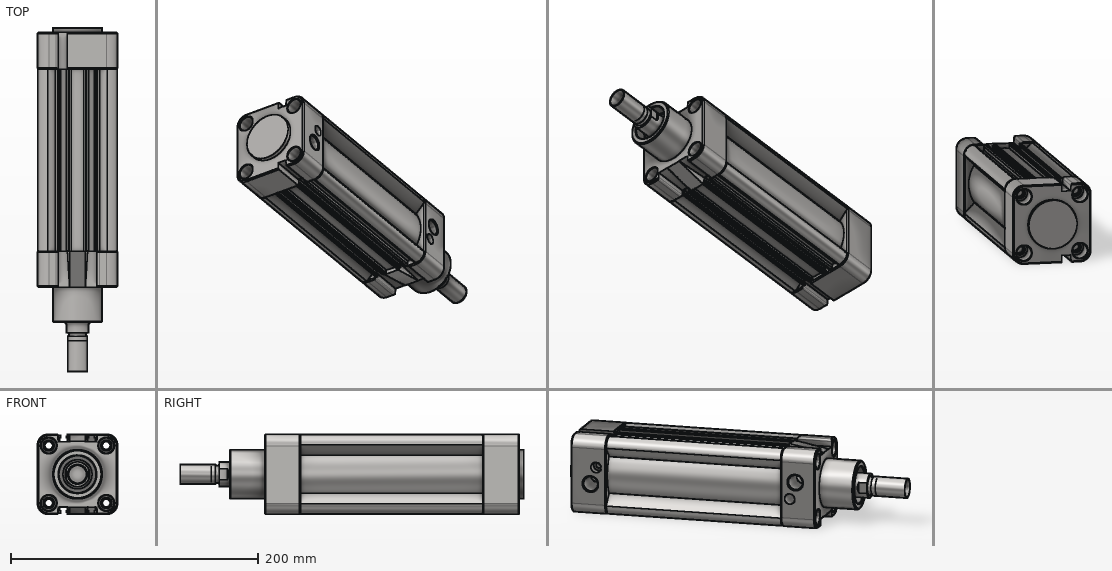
import cadquery as cq
import math


overall_length = 278.03
side = 65.0
half = side / 2
bolt_pitch = 46.5
bolt_offset = bolt_pitch / 2
corner_radius = half - bolt_offset

body_length = 206.0
front_cap_length = 29.1
rear_cap_length = 29.8
rear_spigot_length = 3.6
barrel_start = front_cap_length
barrel_end = body_length - rear_cap_length
cap_chamfer = 1.0

collar_radius = 20.0
collar_length = 28.5
collar_chamfer = 0.9
collar_bore_radius = 15.0
collar_bore_depth = 10.0
collar_bore_chamfer = 0.6
wiper_radius = 11.8
wiper_length = 4.0
rod_radius = 10.0
rod_length = overall_length - body_length - rear_spigot_length
rod_shoulder = 37.0
undercut_radius = 7.0
undercut_length = 3.0
thread_radius = 8.0
thread_bore_radius = 7.2
thread_bore_depth = 25.0
wrench_width = 18.0
wrench_start = 29.0
wrench_runout = 1.2

bolt_radius = 3.2
bolt_step_radius = 4.4
bolt_step_depth = 4.0
bolt_counterbore_radius = 6.2
bolt_counterbore_depth = 15.0
bolt_chamfer = 0.5

port_radius = 5.9
port_chamfer = 0.9
port_setback = 16.6
port_height = 6.5
screw_radius = 4.25
screw_inner_radius = 2.2
screw_seat_depth = 8.0
screw_setback = 21.3
screw_height = 7.5
chamber_radius = 12.0

recess_depth = 6.0
recess_floor = half - recess_depth
recess_half_width = 15.4
recess_wall_draft = 0.4
recess_lip_radius = 1.7
groove_inner_x = 8.1
wedge_top_half_width = 6.4
wedge_base_half_width = 8.2
wedge_front_height = 0.2
wedge_rear_height = 5.6

barrel_half = 32.2
tube_radius = 28.5
notch_edge = 24.0
side_notch_z = 15.2
notch_bottom_x = 17.9
strip_radius = math.hypot(notch_bottom_x, barrel_half - notch_edge + notch_bottom_x)
slot_neck_inner = 9.1
slot_neck_outer = 13.5
slot_undercut = 0.8
slot_floor = 25.8
slot_lip = 29.5
rail_top = 31.6
rail_chamfer = 1.2
inner_rail_step_width = 1.45
inner_rail_step_height = 0.8
inner_rail_x = 5.2
outer_rail_x = 15.9


def cylinder(radius, start, length):
    """Cylinder on the Y axis that runs from y = start to start + length."""
    return cq.Workplane("XZ", origin=(0, start, 0)).circle(radius).extrude(-length)


def block(x_min, x_max, y_min, y_max, z_min, z_max):
    """Axis-aligned box between two corners."""
    size = (x_max - x_min, y_max - y_min, z_max - z_min)
    return cq.Workplane("XY", origin=(x_min, y_min, z_min)).box(*size, centered=False)


def both_faces(shape):
    """The shape together with its mirror image in the XY plane."""
    return shape.union(shape.mirror("XY"))


def cap_blank(start, length):
    """Square cap with round corners and chamfered end edges."""
    blank = block(-half, half, start, start + length, -half, half)
    return blank.edges("|Y").fillet(corner_radius).faces("<Y or >Y").edges().chamfer(cap_chamfer)


def recess_cutter(y_min, length):
    """Channel along a cap's top face, with drafted walls and rounded lips."""
    wall_top = recess_half_width + recess_wall_draft
    lip_x = wall_top + recess_lip_radius
    lip_z = half - recess_lip_radius
    arc_mid = recess_lip_radius * math.sqrt(0.5)
    return (
        cq.Workplane("XZ", origin=(0, y_min, 0))
        .moveTo(-recess_half_width, recess_floor)
        .lineTo(recess_half_width, recess_floor)
        .lineTo(wall_top, lip_z)
        .threePointArc((lip_x - arc_mid, lip_z + arc_mid), (lip_x, half))
        .lineTo(-lip_x, half)
        .threePointArc((arc_mid - lip_x, lip_z + arc_mid), (-wall_top, lip_z))
        .close()
        .extrude(-length)
    )


def wedge():
    """Ramp in the front recess that falls from the barrel down to the floor at the front."""
    slope = (wedge_base_half_width - wedge_top_half_width) / wedge_rear_height

    def section(y, height):
        base = wedge_top_half_width + slope * height
        top = recess_floor + height
        points = [
            cq.Vector(-base, y, recess_floor),
            cq.Vector(base, y, recess_floor),
            cq.Vector(wedge_top_half_width, y, top),
            cq.Vector(-wedge_top_half_width, y, top),
        ]
        return cq.Wire.makePolygon(points, close=True)

    front = section(0, wedge_front_height)
    rear = section(front_cap_length, wedge_rear_height)
    ramp = cq.Solid.makeLoft([front, rear], True)
    return cq.Workplane(obj=ramp)


def front_cap():
    recess = recess_cutter(0, front_cap_length)
    return cap_blank(0, front_cap_length).cut(both_faces(recess)).union(both_faces(wedge()))


def rear_cap():
    beside_groove = block(-groove_inner_x, half, barrel_end, body_length, 0, half)
    groove = recess_cutter(barrel_end, rear_cap_length).cut(beside_groove)
    return cap_blank(barrel_end, rear_cap_length).cut(both_faces(groove))


def on_circle(radius, x):
    """Point of a circle about the origin at a given x, on its upper half."""
    return (x, math.sqrt(radius**2 - x**2))


def barrel():
    """Extruded profile: one quarter with its sensor slot and rails, mirrored twice."""
    outer_bevel_start = rail_top - rail_chamfer
    inner_step_z = rail_top - inner_rail_step_height
    side_notch_x = barrel_half - notch_edge + side_notch_z
    barrel_corner = barrel_half - notch_edge
    arc_mid = notch_edge + barrel_corner * math.sqrt(0.5)
    profile = (
        cq.Workplane("XZ", origin=(0, barrel_start, 0))
        .lineTo(0, tube_radius)
        .threePointArc(on_circle(tube_radius, inner_rail_x / 2), on_circle(tube_radius, inner_rail_x))
        .lineTo(inner_rail_x, inner_step_z)
        .lineTo(inner_rail_x + inner_rail_step_width, inner_step_z)
        .lineTo(inner_rail_x + inner_rail_step_width, rail_top)
        .lineTo(slot_neck_inner - inner_rail_step_width, rail_top)
        .lineTo(slot_neck_inner - inner_rail_step_width, inner_step_z)
        .lineTo(slot_neck_inner, inner_step_z)
        .lineTo(slot_neck_inner, slot_lip)
        .lineTo(slot_neck_inner - slot_undercut, slot_lip)
        .lineTo(slot_neck_inner - slot_undercut, slot_floor)
        .lineTo(slot_neck_outer + slot_undercut, slot_floor)
        .lineTo(slot_neck_outer + slot_undercut, slot_lip)
        .lineTo(slot_neck_outer, slot_lip)
        .lineTo(slot_neck_outer, rail_top)
        .lineTo(outer_rail_x - rail_chamfer, rail_top)
        .lineTo(outer_rail_x, outer_bevel_start)
        .lineTo(*on_circle(strip_radius, outer_rail_x))
        .threePointArc(
            on_circle(strip_radius, (outer_rail_x + notch_bottom_x) / 2),
            on_circle(strip_radius, notch_bottom_x),
        )
        .lineTo(notch_edge, barrel_half)
        .threePointArc((arc_mid, arc_mid), (barrel_half, notch_edge))
        .lineTo(side_notch_x, side_notch_z)
        .lineTo(on_circle(tube_radius, side_notch_z)[1], side_notch_z)
        .threePointArc(on_circle(tube_radius, side_notch_z / 2)[::-1], (tube_radius, 0))
        .close()
    )
    quarter = profile.extrude(-(barrel_end - barrel_start))
    upper = quarter.union(quarter.mirror("YZ"))
    return both_faces(upper)


def collar():
    """Front collar with an open recess that holds a raised wiper ring around the rod."""
    ring = cylinder(collar_radius, -collar_length, collar_length)
    ring = ring.faces("<Y").edges().chamfer(collar_chamfer)
    ring = ring.cut(cylinder(collar_bore_radius, -collar_length, collar_bore_depth))
    mouth_edge = ring.faces("<Y").edges(cq.selectors.RadiusNthSelector(0))
    ring = mouth_edge.chamfer(collar_bore_chamfer)
    wiper_base = collar_bore_depth - collar_length
    return ring.union(cylinder(wiper_radius, wiper_base - wiper_length, wiper_length))


def bolt_hole_cutter():
    """Through hole on the Y axis with a stepped, chamfered counterbore at each end."""
    mouth_radius = bolt_counterbore_radius + bolt_chamfer
    step_end = bolt_counterbore_depth + bolt_step_depth
    profile = (
        cq.Workplane("XY")
        .lineTo(mouth_radius, 0)
        .lineTo(bolt_counterbore_radius, bolt_chamfer)
        .lineTo(bolt_counterbore_radius, bolt_counterbore_depth)
        .lineTo(bolt_step_radius, bolt_counterbore_depth)
        .lineTo(bolt_step_radius, step_end)
        .lineTo(bolt_radius, step_end)
        .lineTo(bolt_radius, body_length / 2)
        .lineTo(0, body_length / 2)
        .close()
    )
    front_part = profile.revolve(360, (0, 0, 0), (0, 1, 0))
    rear_part = front_part.mirror("XZ", (0, body_length / 2, 0))
    return front_part.union(rear_part)


def side_hole(y, z, radius, depth):
    """Hole cutter that enters from the -X side."""
    return cq.Workplane("YZ", origin=(-half, y, z)).circle(radius).extrude(depth)


def port_cutter(y, z):
    """Air port down to the middle plane, with a chamfered mouth."""
    mouth = (
        cq.Workplane("YZ", origin=(-half, y, z))
        .circle(port_radius + port_chamfer)
        .workplane(offset=port_chamfer)
        .circle(port_radius)
        .loft(ruled=True)
    )
    return mouth.union(side_hole(y, z, port_radius, half))


def build_housing():
    body = front_cap().union(barrel()).union(rear_cap()).union(collar())
    body = body.union(cylinder(collar_radius, body_length, rear_spigot_length))
    for x in (-bolt_offset, bolt_offset):
        for z in (-bolt_offset, bolt_offset):
            body = body.cut(bolt_hole_cutter().translate((x, 0, z)))
    body = body.cut(cylinder(rod_radius, -collar_length, collar_length + front_cap_length))
    body = body.cut(cylinder(chamber_radius, barrel_end, rear_cap_length))
    body = body.cut(port_cutter(port_setback, port_height))
    body = body.cut(side_hole(screw_setback, -screw_height, screw_radius, half))
    body = body.cut(port_cutter(body_length - port_setback, -port_height))
    rear_screw_y = body_length - screw_setback
    body = body.cut(side_hole(rear_screw_y, screw_height, screw_radius, screw_seat_depth))
    return body.cut(side_hole(rear_screw_y, screw_height, screw_inner_radius, half))


def wrench_flat_cutter():
    """Cutter for the flat on the +X side, with a sloped run-out toward the collar."""
    flat_x = wrench_width / 2
    outer_x = flat_x + 2 * wrench_runout
    slope_end = wrench_start + wrench_runout
    profile = cq.Workplane("XY", origin=(0, 0, -rod_radius)).polyline(
        [
            (flat_x, -rod_shoulder),
            (flat_x, -slope_end),
            (outer_x, -slope_end + 2 * wrench_runout),
            (outer_x, -rod_shoulder),
        ]
    )
    return profile.close().extrude(2 * rod_radius)


def build_rod():
    undercut_end = rod_shoulder + undercut_length
    rod = (
        cq.Workplane("XY")
        .moveTo(0, front_cap_length)
        .lineTo(rod_radius, front_cap_length)
        .lineTo(rod_radius, -rod_shoulder)
        .lineTo(thread_radius, -rod_shoulder)
        .threePointArc((undercut_radius, -rod_shoulder - undercut_length / 2), (thread_radius, -undercut_end))
        .lineTo(thread_radius, -rod_length)
        .lineTo(thread_bore_radius, -rod_length)
        .lineTo(thread_bore_radius, thread_bore_depth - rod_length)
        .lineTo(0, thread_bore_depth - rod_length)
        .close()
        .revolve(360, (0, 0, 0), (0, 1, 0))
    )
    flat = wrench_flat_cutter()
    return rod.cut(flat).cut(flat.mirror("YZ"))


housing = build_housing()
piston_rod = build_rod()

result = cq.Compound.makeCompound([housing.val(), piston_rod.val()])